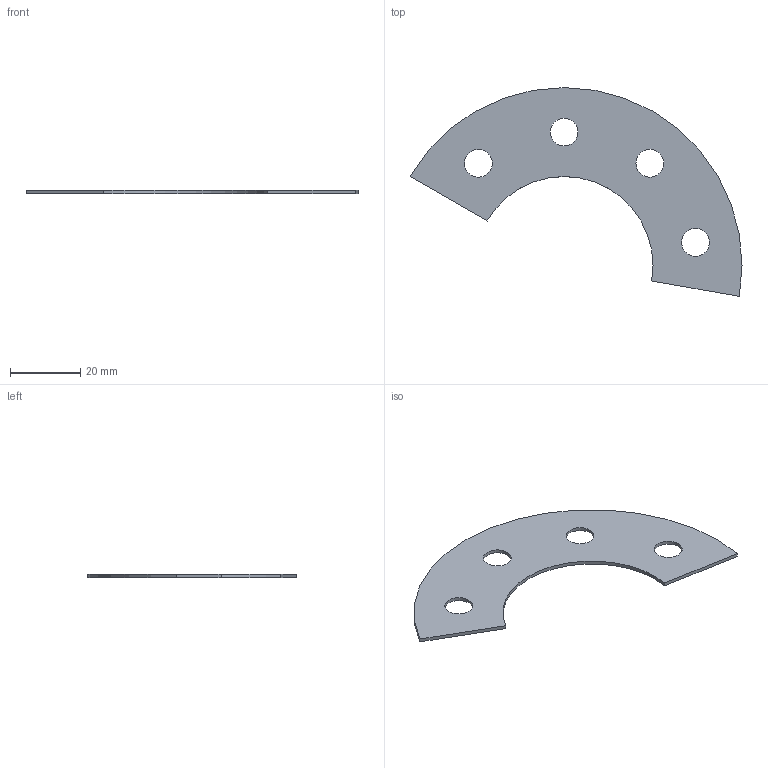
import cadquery as cq
import math

outer_radius = 50.8
inner_radius = outer_radius / 2
thickness = 1.0
start_angle = -10.0
end_angle = 150.0

hole_diameter = 7.94
hole_count = 4
hole_pitch_angle = 40.0
first_hole_angle = 10.0
bolt_circle_radius = (outer_radius + inner_radius) / 2


def polar_point(radius, angle):
    """Point at the given radius and angle from the ring centre."""
    radians = math.radians(angle)
    return (radius * math.cos(radians), radius * math.sin(radians))


def ring_sector():
    """Flat ring sector between the start and end angles."""
    middle_angle = (start_angle + end_angle) / 2
    return (
        cq.Workplane("XY")
        .moveTo(*polar_point(outer_radius, start_angle))
        .threePointArc(polar_point(outer_radius, middle_angle), polar_point(outer_radius, end_angle))
        .lineTo(*polar_point(inner_radius, end_angle))
        .threePointArc(polar_point(inner_radius, middle_angle), polar_point(inner_radius, start_angle))
        .close()
        .extrude(thickness)
    )


def mounting_holes():
    """Through-hole cutters spaced evenly along the bolt circle."""
    centres = [
        polar_point(bolt_circle_radius, first_hole_angle + index * hole_pitch_angle)
        for index in range(hole_count)
    ]
    return cq.Workplane("XY").pushPoints(centres).circle(hole_diameter / 2).extrude(thickness)


result = ring_sector().cut(mounting_holes())